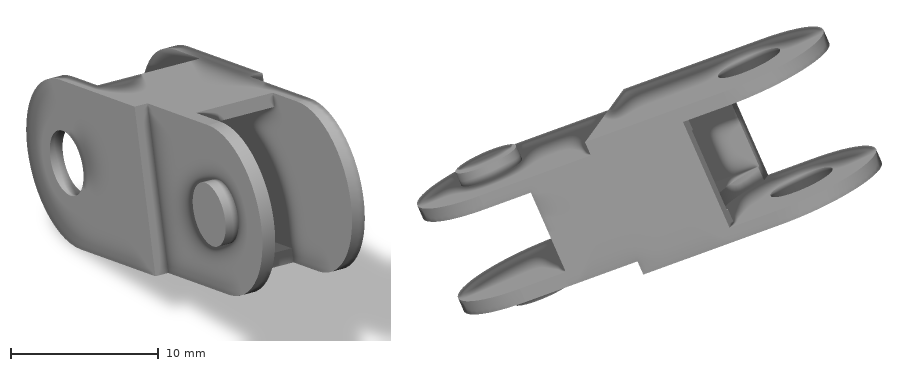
import cadquery as cq

pitch = 20.0
tilt_angle = 13.7
plate_thickness = 1.0
wall_thickness = 1.0
end_radius = 6.0
end_inset = 0.5
hole_diameter = 4.6
pin_diameter = 4.5
link_width = 10.0
wall_setback = 4.0
hole_plate_reach = 11.0
clearance_radius = 6.2

outer_half = link_width / 2
middle_half = outer_half - plate_thickness
inner_half = middle_half - plate_thickness
hole_end_x = end_inset
pin_end_x = pitch - end_inset



def block(x_start, x_end, half_width, half_height):
    """Box centred on Y and Z between two stations along the link."""
    length = x_end - x_start
    box = cq.Workplane("XY").box(length, 2 * half_width, 2 * half_height)
    return box.translate(((x_start + x_end) / 2, 0, 0))


def cylinder(x, radius, half_width):
    """Cylinder along Y, centred on the link's mid-plane."""
    plane = cq.Workplane("XZ", origin=(x, 0, 0))
    return plane.circle(radius).extrude(half_width, both=True)


def hole_end():
    """Full-width half of the link, round at the hole and square at the other end."""
    straight = block(hole_end_x, hole_plate_reach, outer_half, end_radius)
    body = straight.union(cylinder(hole_end_x, end_radius, outer_half))
    return body.cut(cylinder(0, hole_diameter / 2, outer_half))


def pin_end():
    """Narrower half of the link, round at the pin end, with a pin on each side."""
    straight = block(hole_plate_reach, pin_end_x, middle_half, end_radius)
    body = straight.union(cylinder(pin_end_x, end_radius, middle_half))
    return body.union(cylinder(pitch, pin_diameter / 2, outer_half))


def hollow():
    """Inside of the link: open fork at each end, joined by a passage between the walls."""
    fork_start = hole_end_x - 2 * end_radius
    fork_end = pin_end_x + 2 * end_radius
    hole_fork = block(fork_start, wall_setback, middle_half, end_radius)
    pin_fork = block(pitch - wall_setback, fork_end, inner_half, end_radius)
    passage = block(0, pitch, inner_half, end_radius - wall_thickness)
    return hole_fork.union(pin_fork).union(passage)


def swing_clearance():
    """Concave relief in the pin plates, kept between the top and bottom walls."""
    relief = cylinder(0, clearance_radius, middle_half)
    return relief.intersect(block(0, pitch, middle_half, end_radius - wall_thickness))


link = hole_end().union(pin_end()).cut(hollow()).cut(swing_clearance())
result = link.rotate((0, 0, 0), (0, 1, 0), -tilt_angle)